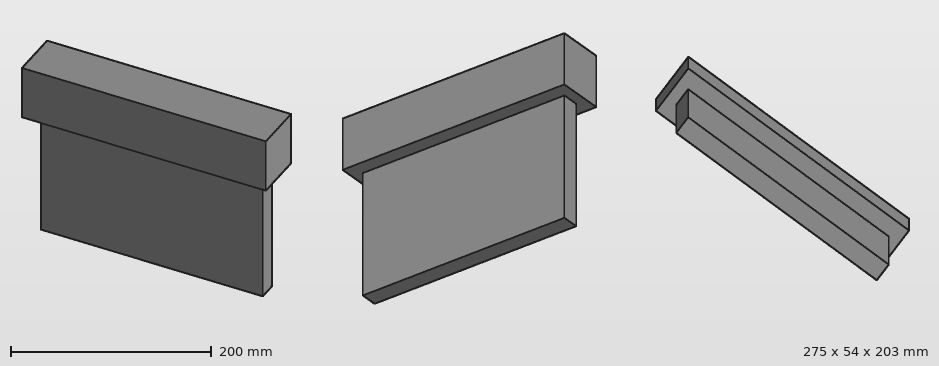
import cadquery as cq

head_length = 275.0
head_depth = 54.0
head_height = 60.0

overall_height = 203.0
blade_length = 250.0
blade_thickness = 20.0
blade_height = overall_height - head_height


def make_head():
    """Block whose underside rests on the top of the blade."""
    return (
        cq.Workplane("XY")
        .workplane(offset=blade_height)
        .rect(head_length, head_depth)
        .extrude(head_height)
    )


def make_blade():
    """Upright plate standing on the XY plane, centred under the head."""
    return cq.Workplane("XY").rect(blade_length, blade_thickness).extrude(blade_height)


result = make_blade().union(make_head())